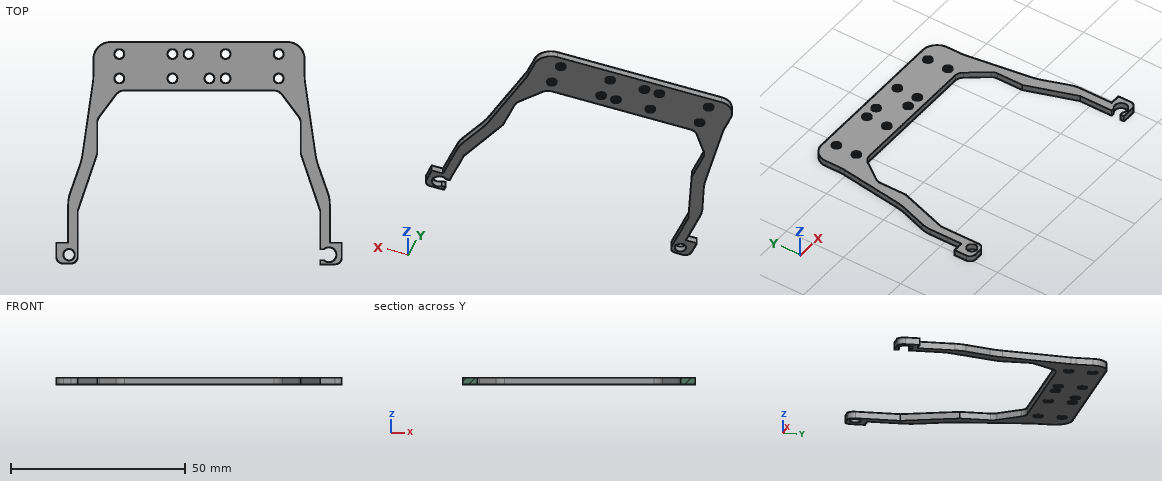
import cadquery as cq

thickness = 2.0
overall_width = 82.0
overall_length = 63.9

bar_half_width = 30.35
bar_depth = 14.0
rear_corner_radius = 5.0

taper_start_y = -10.7
taper_start_radius = 10.0
outer_knee_x = 33.7
outer_knee_y = -33.95
outer_knee_radius = 20.0
outer_shank_x = 37.6
outer_shank_y = -45.0
outer_shank_radius = 10.0

gusset_bar_x = 22.95
gusset_arm_x = 29.2
gusset_arm_y = -22.3
gusset_radius = 3.0
inner_knee_y = -32.2
inner_shank_x = 34.75
inner_shank_y = -48.5

foot_half_width = overall_width / 2
foot_rear_y = -57.6
foot_corner_radius = 2.0
foot_hole_x = 37.3
foot_hole_y = -61.1
eye_foot_front_y = -63.65
hook_foot_front_y = -overall_length
eye_diameter = 3.2
hook_diameter = 4.2
hook_mouth_width = 3.05

thread_minor_diameter = 2.7
thread_major_diameter = 2.9
thread_turns = 4
thread_pitch = thickness / thread_turns
rear_row_y = -3.5
front_row_y = -10.5
mount_pitch = 15.24
common_row_x = [pitches * mount_pitch for pitches in (-1.5, -0.5, 0.5, 1.5)]
extra_hole_x = 3.0


def extrude_outline(points):
    return cq.Workplane("XY").polyline(points).close().extrude(thickness)


def round_edge(body, x, y, radius):
    """Round the upright edge that stands at (x, y)."""
    edge = cq.selectors.NearestToPointSelector((x, y, thickness / 2))
    return body.edges("|Z").edges(edge).fillet(radius)


def make_half(side, foot_front_y):
    """Half of the bar with one arm and foot; side is -1 for -X and 1 for +X."""
    outline = [
        (0, 0),
        (bar_half_width, 0),
        (bar_half_width, taper_start_y),
        (outer_knee_x, outer_knee_y),
        (outer_shank_x, outer_shank_y),
        (outer_shank_x, foot_rear_y),
        (foot_half_width, foot_rear_y),
        (foot_half_width, foot_front_y),
        (inner_shank_x, foot_front_y),
        (inner_shank_x, inner_shank_y),
        (gusset_arm_x, inner_knee_y),
        (gusset_arm_x, gusset_arm_y),
        (gusset_bar_x, -bar_depth),
        (0, -bar_depth),
    ]
    rounded_corners = [
        (bar_half_width, 0, rear_corner_radius),
        (bar_half_width, taper_start_y, taper_start_radius),
        (outer_knee_x, outer_knee_y, outer_knee_radius),
        (outer_shank_x, outer_shank_y, outer_shank_radius),
        (foot_half_width, foot_front_y, foot_corner_radius),
        (gusset_arm_x, gusset_arm_y, gusset_radius),
        (gusset_bar_x, -bar_depth, gusset_radius),
    ]
    half = extrude_outline([(side * x, y) for x, y in outline])
    for x, y, radius in rounded_corners:
        half = round_edge(half, side * x, y, radius)
    return half


def drill(body, centers, diameter):
    cutter = cq.Workplane("XY").pushPoints(centers).circle(diameter / 2).extrude(thickness)
    return body.cut(cutter)


def make_eye_half():
    """-X half, whose foot carries a closed round hole."""
    half = make_half(-1, eye_foot_front_y)
    half = round_edge(half, -inner_shank_x, eye_foot_front_y, foot_corner_radius)
    return drill(half, [(-foot_hole_x, foot_hole_y)], eye_diameter)


def make_hook_half():
    """+X half, whose foot is a hook with its mouth facing the other arm."""
    half = make_half(1, hook_foot_front_y)
    half = drill(half, [(foot_hole_x, foot_hole_y)], hook_diameter)
    mouth_length = foot_hole_x - inner_shank_x
    mouth = (
        cq.Workplane("XY")
        .center(foot_hole_x - mouth_length / 2, foot_hole_y)
        .rect(mouth_length, hook_mouth_width)
        .extrude(thickness)
    )
    return half.cut(mouth)


def make_thread_cutter():
    """Plate-high cutter on the Z axis with one V-shaped ring per thread turn."""
    minor_radius = thread_minor_diameter / 2
    major_radius = thread_major_diameter / 2
    profile = [(0, 0)]
    for turn in range(thread_turns):
        turn_start = turn * thread_pitch
        profile.append((minor_radius, turn_start))
        profile.append((major_radius, turn_start + thread_pitch / 2))
    profile += [(minor_radius, thickness), (0, thickness)]
    return cq.Workplane("XZ").polyline(profile).close().revolve(360, (0, 0, 0), (0, 1, 0))


def cut_mounting_holes(body):
    rear_row = [(x, rear_row_y) for x in common_row_x + [-extra_hole_x]]
    front_row = [(x, front_row_y) for x in common_row_x + [extra_hole_x]]
    cutter = make_thread_cutter()
    for x, y in rear_row + front_row:
        body = body.cut(cutter.translate((x, y, 0)))
    return body


bracket = make_eye_half().union(make_hook_half()).clean()
result = cut_mounting_holes(bracket)